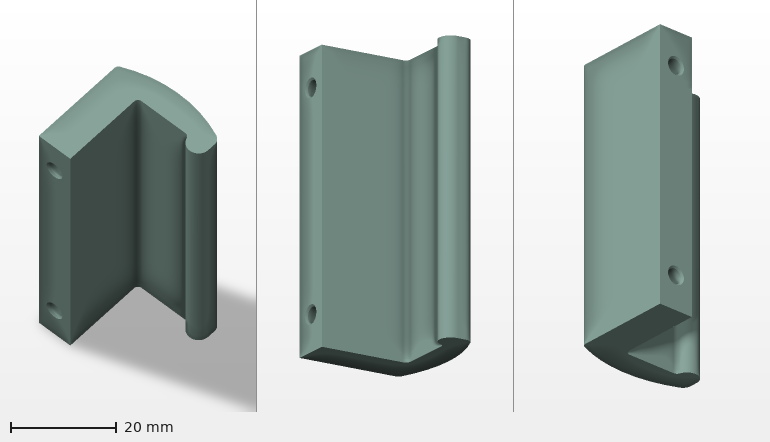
import cadquery as cq
import math

width = 26.0
depth = 25.0
length = 60.0

leg_thickness = 8.0
plate_thickness = 6.0
crown_radius = 29.5
lip_radius = 2.5
edge_radius = 1.0
lip_shoulder_radius = 2.0

hole_diameter = 3.24
hole_depth = 10.0
hole_tip_angle = 118.0
hole_mouth_diameter = 4.0
hole_end_distance = 7.5

underside_y = depth - plate_thickness
crown_center_y = depth - crown_radius
shoulder_y = crown_center_y + math.sqrt(crown_radius**2 - (width / 2) ** 2)
lip_center_x = width - lip_radius


def make_body():
    """Extruded profile with its four rounded lengthwise edges."""
    lip_left_x = lip_center_x - lip_radius
    bar = (
        cq.Workplane("XY")
        .lineTo(leg_thickness, 0)
        .lineTo(leg_thickness, underside_y)
        .lineTo(lip_left_x, underside_y)
        .threePointArc((lip_center_x, underside_y - lip_radius), (width, underside_y))
        .lineTo(width, shoulder_y)
        .threePointArc((width / 2, depth), (0, shoulder_y))
        .close()
        .extrude(length)
    )
    rounded_corners = [
        (0, shoulder_y, edge_radius),
        (width, shoulder_y, lip_shoulder_radius),
        (leg_thickness, underside_y, edge_radius),
        (lip_left_x, underside_y, edge_radius),
    ]
    for x, y, radius in rounded_corners:
        corner_edge = cq.selectors.NearestToPointSelector((x, y, length / 2))
        bar = bar.edges(corner_edge).fillet(radius)
    return bar


def make_hole(z):
    """Blind drilled hole along +Y with a 45 degree mouth chamfer and a conical tip."""
    drill_radius = hole_diameter / 2
    mouth_radius = hole_mouth_diameter / 2
    chamfer_depth = mouth_radius - drill_radius
    tip_depth = drill_radius / math.tan(math.radians(hole_tip_angle / 2))
    half_section = (
        cq.Workplane("XY")
        .lineTo(mouth_radius, 0)
        .lineTo(drill_radius, chamfer_depth)
        .lineTo(drill_radius, hole_depth)
        .lineTo(0, hole_depth + tip_depth)
        .close()
    )
    drill = half_section.revolve(360, (0, 0, 0), (0, 1, 0))
    return drill.translate((leg_thickness / 2, 0, z))


result = make_body()
for hole_z in (hole_end_distance, length - hole_end_distance):
    result = result.cut(make_hole(hole_z))